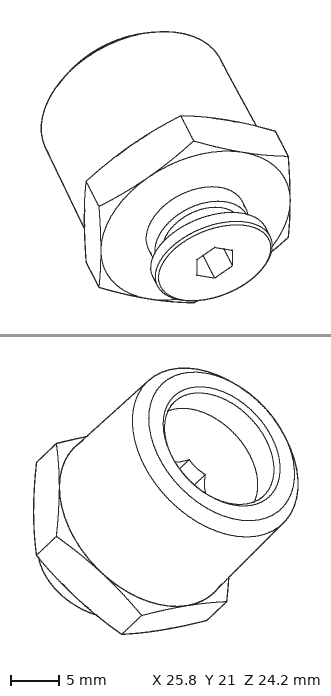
import cadquery as cq
import math

total_length = 25.75

lead_in_length = 1.24
lead_in_radius = 8.99
thread_start_radius = 10.22
thread_end_radius = 10.48

hex_start = 14.99
hex_end = 20.0
hex_across_flats = 21.0
hex_chamfer_radius = hex_across_flats / 2
hex_chamfer_length = 0.57

collar_taper_start = 20.95
collar_end = 22.0
collar_radius = 5.48
collar_end_radius = 5.25
step_end = 23.38
step_radius = 4.4
neck_radius = 3.73

ring_start = 24.1
ring_half_width = 6.5
ring_half_height = 5.48
ring_chamfer = 0.25

bore_mouth_radius = 7.2
bore_radius = 6.75
bore_chamfer_length = 0.46
bore_depth = 3.6
drill_point_angle = 118.0
key_across_flats = 3.97


def corner_radius(across_flats):
    """Distance from the centre of a hexagon to its corners."""
    return across_flats / math.sqrt(3)


def revolve_about_x(points):
    """Solid of revolution about X from (x, radius) points."""
    return cq.Workplane("XY").polyline(points).close().revolve(360, (0, 0, 0), (1, 0, 0))


def hexagon_bar(across_flats, start, end):
    """Hexagonal bar along X with flats facing +Y and -Y."""
    bar = cq.Workplane("YZ").workplane(offset=start)
    bar = bar.polygon(6, 2 * corner_radius(across_flats)).extrude(end - start)
    return bar.rotate((0, 0, 0), (1, 0, 0), 90)


def threaded_body():
    return revolve_about_x([
        (0, 0),
        (0, lead_in_radius),
        (lead_in_length, thread_start_radius),
        (hex_start, thread_end_radius),
        (hex_start, 0),
    ])


def wrench_hexagon():
    """Hexagon whose corners are turned down by a shallow cone at both ends."""
    outer_radius = corner_radius(hex_across_flats)
    turned_envelope = revolve_about_x([
        (hex_start, 0),
        (hex_start, hex_chamfer_radius),
        (hex_start + hex_chamfer_length, outer_radius),
        (hex_end - hex_chamfer_length, outer_radius),
        (hex_end, hex_chamfer_radius),
        (hex_end, 0),
    ])
    return hexagon_bar(hex_across_flats, hex_start, hex_end).intersect(turned_envelope)


def stepped_collar():
    return revolve_about_x([
        (hex_end, 0),
        (hex_end, collar_radius),
        (collar_taper_start, collar_radius),
        (collar_end, collar_end_radius),
        (collar_end, step_radius),
        (step_end, step_radius),
        (step_end, neck_radius),
        (ring_start, neck_radius),
        (ring_start, 0),
    ])


def release_ring():
    """Elliptical flange with its outer end edge chamfered."""
    ring = cq.Workplane("YZ").workplane(offset=ring_start)
    ring = ring.ellipse(ring_half_width, ring_half_height).extrude(total_length - ring_start)
    return ring.faces(">X").edges().chamfer(ring_chamfer)


def drilled_bore():
    point_length = bore_radius / math.tan(math.radians(drill_point_angle / 2))
    return revolve_about_x([
        (0, 0),
        (0, bore_mouth_radius),
        (bore_chamfer_length, bore_radius),
        (bore_depth, bore_radius),
        (bore_depth + point_length, 0),
    ])


outside = threaded_body().union(wrench_hexagon()).union(stepped_collar()).union(release_ring())
key_socket = hexagon_bar(key_across_flats, 0, total_length)
result = outside.cut(drilled_bore()).cut(key_socket)